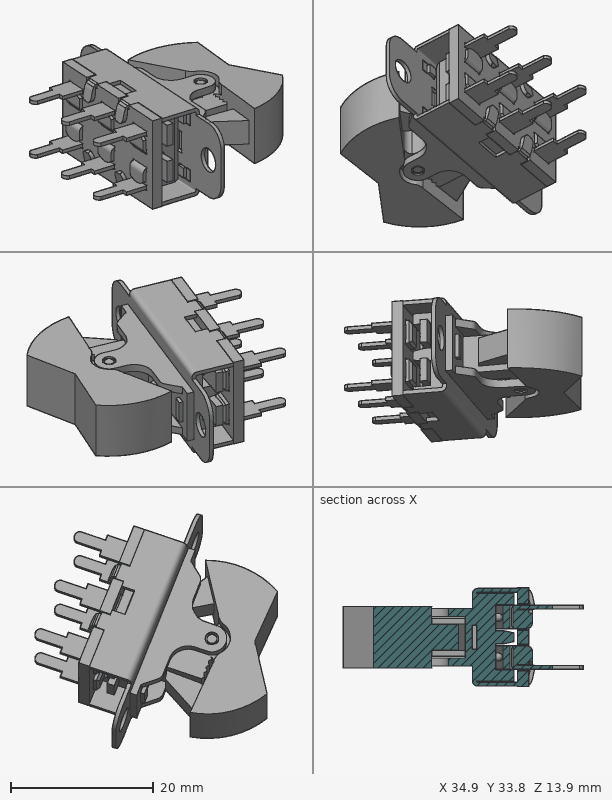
import cadquery as cq


row_z = 4.23
pitch = 7.93
sheet = 0.6

flange_length = 34.92
flange_width = 11.52
flange_corner = 2.97
mount_hole = 3.55
mount_x = 14.3
frame_half_x = 11.2
frame_half_z = 6.88
bend_radius = 0.8
window_half_x = 1.95
window_top = -4.45

base_half_x = 11.17
base_half_z = 6.95
base_top = -6.32
base_bottom = -7.93

housing_half_x = 7.23
housing_half_z = 6.15
housing_bottom = -5.85
housing_chamfer_x = 0.5
housing_chamfer_y = 0.9
cavity_top = -3.3
cavity_z = (0.95, 4.57)
divider_tip_z = 0.63
divider_taper_y = -4.35

slab_half_x = 11.85
slab_half_z = 4.05
slab_top = 1.0
cheek_z = (2.9, slab_half_z)
shoulder_y = 3.35
pivot_y = 7.9
ear_radius = 4.15 / 2
rivet_hole = 1.9
rivet = 1.4

tilt = 15.0
rocker_half_z = 4.33
core_half_z = 2.7
leg_half_z = 1.85
ear_clearance = 2.6

blade_width = 3.28
blade_end = -11.28
pin_width = 1.65
pin_end = -15.6
blade_thickness = 0.55
head_top = -5.48
tongue_z = 1.2
tongue_end = -8.45


def box(x0, x1, y0, y1, z0, z1):
    """Box between two opposite corners."""
    return cq.Workplane("XY").box(x1 - x0, y1 - y0, z1 - z0, centered=False).translate((x0, y0, z0))


def plate(sketch, z0, z1):
    """Extrude an XY outline between two Z levels."""
    return sketch.extrude(z1 - z0).translate((0, 0, z0))


def mirrored_z(solid):
    """The solid together with its mirror image across Z = 0."""
    return solid.union(solid.mirror("XY"))


def mirrored_x(solid):
    """The solid together with its mirror image across X = 0."""
    return solid.union(solid.mirror("YZ"))


tab_pitch = pitch / 2
tab_width = 1.92
tab_root_width = 2.45
tab_root_end = -7.58
tab_end = -8.87
tab_tip_z = 3.85
tab_tip_slant = 0.15
tab_outer_bend = [(base_bottom, 6.75), (-8.25, 6.43), (-8.45, 5.9)]
tab_inner_bend = (-7.85, 5.6)
hook_slot_x = (7.12, 9.75)
hook_slot_z = (3.5, 5.3)
hook_x = (7.35, 8.73)
hook_top_z = 5.03
hook_drop = 0.42
hook_seat = 0.5
centre_slot_x = (6.3, 7.68)
centre_slot_half_z = 1.68


def bent_tab(x):
    """Clinched tab that reaches over the base edge and inwards, rounded at its end."""
    inner_z = frame_half_z - sheet
    tip_radius = tab_width / 2
    profile = [
        (tab_root_end, inner_z), (tab_root_end, frame_half_z), *tab_outer_bend,
        (tab_end, tab_tip_z + tab_tip_slant), (tab_end + sheet, tab_tip_z), tab_inner_bend,
    ]
    strip = cq.Workplane("YZ", origin=(x - tip_radius, 0, 0)).polyline(profile).close().extrude(tab_width)
    outline = (
        cq.Workplane("XZ", origin=(x, 0, 0))
        .moveTo(-tip_radius, frame_half_z)
        .lineTo(-tip_radius, tab_tip_z + tip_radius)
        .threePointArc((0, tab_tip_z), (tip_radius, tab_tip_z + tip_radius))
        .lineTo(tip_radius, frame_half_z)
        .close()
        .extrude(-tab_end)
    )
    root = box(x - tab_root_width / 2, x + tab_root_width / 2, tab_root_end, base_top,
               inner_z, frame_half_z)
    return strip.intersect(outline).union(root)


def frame():
    channel = box(-frame_half_x, frame_half_x, base_top, 0, -frame_half_z, frame_half_z)
    channel = channel.edges("|X and >Y").fillet(bend_radius)
    inner_z = frame_half_z - sheet
    inside = box(-frame_half_x, frame_half_x, base_top, -sheet, -inner_z, inner_z)
    channel = channel.cut(inside.edges("|X and >Y").fillet(bend_radius - sheet))
    window = box(-window_half_x, window_half_x, base_top, window_top, -frame_half_z, frame_half_z)
    channel = channel.cut(window)

    flange = box(-flange_length / 2, flange_length / 2, -sheet, 0, -flange_width / 2, flange_width / 2)
    flange = flange.edges("|Y").fillet(flange_corner)
    body = channel.union(flange)

    holes = (
        cq.Workplane("XZ")
        .pushPoints([(-mount_x, 0), (mount_x, 0)])
        .circle(mount_hole / 2)
        .extrude(sheet)
    )
    hook_slot = box(*hook_slot_x, -sheet, 0, *hook_slot_z)
    centre_slot = box(*centre_slot_x, -sheet, 0, -centre_slot_half_z, centre_slot_half_z)
    body = body.cut(holes)
    body = body.cut(mirrored_x(mirrored_z(hook_slot).union(centre_slot)))

    for x in (-tab_pitch, tab_pitch):
        body = body.union(mirrored_z(bent_tab(x)))
    return body


notch_width = 2.62
notch_depth = 0.65
slot_half_x = 1.68
blade_slot_z = (3.85, 4.68)
tongue_slot_z = (1.0, 1.75)


def base():
    body = box(-base_half_x, base_half_x, base_bottom, base_top, -base_half_z, base_half_z)
    for x in (-tab_pitch, tab_pitch):
        notch = box(x - notch_width / 2, x + notch_width / 2, base_bottom, base_top,
                    base_half_z - notch_depth, base_half_z)
        body = body.cut(mirrored_z(notch))
    for x in (-pitch, 0, pitch):
        for slot_z in (blade_slot_z, tongue_slot_z):
            slot = box(x - slot_half_x, x + slot_half_x, base_bottom, base_top, *slot_z)
            body = body.cut(mirrored_z(slot))
    return body


def housing():
    chamfer_y = -sheet - housing_chamfer_y
    outline = [
        (housing_half_x - housing_chamfer_x, -sheet), (housing_half_x, chamfer_y),
        (housing_half_x, housing_bottom), (-housing_half_x, housing_bottom),
        (-housing_half_x, chamfer_y), (housing_chamfer_x - housing_half_x, -sheet),
    ]
    body = plate(cq.Workplane("XY").polyline(outline).close(), -housing_half_z, housing_half_z)
    inner_z, outer_z = cavity_z
    cavity = (
        cq.Workplane("YZ")
        .polyline([(cavity_top, inner_z), (divider_taper_y, inner_z), (housing_bottom, divider_tip_z),
                   (housing_bottom, outer_z), (cavity_top, outer_z)])
        .close()
        .extrude(housing_half_x, both=True)
    )
    return body.cut(mirrored_z(cavity))


cheek_foot_x = 10.1
corner_low = (8.45, 2.95)
corner_mid = (8.03, 3.25)
corner_high_x = 7.47
neck_radius = 2.8
pad_x = (9.08, 10.3)
pad_top = 1.57
pad_half_z = 1.68
stop_x = (1.95, 5.75)
stop_top = 8.45
tooth_count = 4
tooth_height = 0.3


def carrier():
    slab = box(-slab_half_x, slab_half_x, 0, slab_top, -slab_half_z, slab_half_z)
    cheek = (
        cq.Workplane("XY")
        .moveTo(-cheek_foot_x, slab_top)
        .lineTo(-corner_low[0], corner_low[1])
        .threePointArc((-corner_mid[0], corner_mid[1]), (-corner_high_x, shoulder_y))
        .lineTo(-ear_radius - neck_radius, shoulder_y)
        .radiusArc((-ear_radius, shoulder_y + neck_radius), -neck_radius)
        .lineTo(-ear_radius, pivot_y)
        .threePointArc((0, pivot_y + ear_radius), (ear_radius, pivot_y))
        .lineTo(ear_radius, shoulder_y + neck_radius)
        .radiusArc((ear_radius + neck_radius, shoulder_y), -neck_radius)
        .lineTo(corner_high_x, shoulder_y)
        .threePointArc(corner_mid, corner_low)
        .lineTo(cheek_foot_x, slab_top)
        .close()
    )
    cheek = plate(cheek, *cheek_z)
    hole = plate(cq.Workplane("XY").center(0, pivot_y).circle(rivet_hole / 2), *cheek_z)
    body = slab.union(mirrored_z(cheek.cut(hole)))
    pad = box(*pad_x, slab_top, pad_top, -pad_half_z, pad_half_z)
    body = body.union(mirrored_x(pad))
    hook = box(*hook_x, -sheet - hook_drop, 0, hook_slot_z[0], hook_top_z)
    hook = hook.union(box(*hook_slot_x, -hook_seat, 0, *hook_slot_z))
    return body.union(mirrored_x(mirrored_z(hook)))


def toothed_stop():
    """Upright stop with a row of small teeth on its top edge."""
    near_x, far_x = stop_x
    step = (far_x - near_x) / tooth_count
    points = [(far_x, slab_top), (far_x, stop_top)]
    for i in range(tooth_count):
        points.append((far_x - (i + 0.5) * step, stop_top + tooth_height))
        points.append((far_x - (i + 1) * step, stop_top))
    points.append((near_x, slab_top))
    return plate(cq.Workplane("XY").polyline(points).close(), -core_half_z, core_half_z)


lip = (11.7, -2.0)
rim = (10.9, 3.95)
crest = (7.85, 8.52)
saddle_y = 6.05
root_x = 3.45
root_y = 0.63
recess_neck = (2.3, 1.25)
recess_bend = (2.95, 0.8)
recess_foot = (3.98, 0.45)
hub_radius = 2.2
hub_bend = (2.65, 0.5)
leg_outline = [(6.25, 0.7), (6.25, -0.3), (4.5, -6.0), (5.9, -6.0), (10.3, -1.6), (10.3, 0.7)]
shaft_recess = 0.15
collar_recess = 0.28


def rocker():
    """Rocker drawn upright about the pivot, then tilted and moved to the ears."""
    head = (
        cq.Workplane("XY")
        .moveTo(-root_x, root_y)
        .lineTo(-lip[0], lip[1])
        .threePointArc((-rim[0], rim[1]), (-crest[0], crest[1]))
        .lineTo(0, saddle_y)
        .lineTo(*crest)
        .threePointArc(rim, lip)
        .lineTo(root_x, root_y)
        .close()
    )
    body = plate(head, -rocker_half_z, rocker_half_z)

    ear_recess = (
        cq.Workplane("XY")
        .moveTo(-recess_foot[0], recess_foot[1])
        .threePointArc((-recess_bend[0], recess_bend[1]), (-recess_neck[0], recess_neck[1]))
        .threePointArc((0, ear_clearance), recess_neck)
        .threePointArc(recess_bend, recess_foot)
        .close()
    )
    body = body.cut(mirrored_z(plate(ear_recess, core_half_z, rocker_half_z)))

    hub = (
        cq.Workplane("XY")
        .moveTo(-root_x, root_y)
        .threePointArc((-hub_bend[0], hub_bend[1]), (-hub_radius, 0))
        .threePointArc((0, -hub_radius), (hub_radius, 0))
        .threePointArc(hub_bend, (root_x, root_y))
        .lineTo(0, (root_y + saddle_y) / 2)
        .close()
    )
    body = body.union(plate(hub, -core_half_z, core_half_z))

    leg = cq.Workplane("XY").polyline(leg_outline).close()
    body = body.union(mirrored_x(plate(leg, -leg_half_z, leg_half_z)))

    for radius, recess in ((rivet / 2, shaft_recess), (rivet_hole / 2, collar_recess)):
        half_length = slab_half_z - recess
        pin = plate(cq.Workplane("XY").circle(radius), -half_length, half_length)
        body = body.union(pin)
    return body.rotate((0, 0, 0), (0, 0, 1), tilt).translate((0, pivot_y, 0))


blade_outer_z = row_z + blade_thickness / 2
tip_length = 0.6
head_chamfer = 0.4
tongue_side_z = 3.28
tongue_outer_z = 3.85
tongue_round = 0.85


def terminal(x):
    half_blade = blade_width / 2
    half_pin = pin_width / 2
    blade = (
        cq.Workplane("XY", origin=(x, 0, 0))
        .moveTo(-half_blade, base_top)
        .lineTo(-half_blade, blade_end)
        .lineTo(-half_pin, blade_end)
        .lineTo(-half_pin, pin_end + tip_length)
        .threePointArc((0, pin_end), (half_pin, pin_end + tip_length))
        .lineTo(half_pin, blade_end)
        .lineTo(half_blade, blade_end)
        .lineTo(half_blade, base_top)
        .close()
    )
    body = plate(blade, blade_outer_z - blade_thickness, blade_outer_z)

    head = box(x - half_blade, x + half_blade, base_top, head_top, tongue_z, blade_outer_z)
    head = head.faces(">Y").chamfer(head_chamfer)

    tongue = (
        cq.Workplane("XZ", origin=(x, 0, 0))
        .moveTo(-half_blade, tongue_z)
        .lineTo(-half_blade, tongue_side_z)
        .threePointArc((0, tongue_outer_z), (half_blade, tongue_side_z))
        .lineTo(half_blade, tongue_z)
        .close()
        .extrude(base_top - tongue_end)
        .translate((0, base_top, 0))
        .edges("|X and <Y and <Z")
        .fillet(tongue_round)
    )
    return body.union(head).union(tongue)


contact_half_x = 9.43
contact_bend_x = 8.38
contact_low_y = -4.45
contact_high_y = -3.25
contact_depth = 1.05
fulcrum_half_x = 0.7
plunger_x = -5.95
plunger_z = 2.8
plunger_radius = 0.55
nose_y = -3.7


def contact():
    """Tilted contact bar on its fulcrum, with a round-nosed plunger bearing on it."""
    low_bottom = contact_low_y - contact_depth
    high_bottom = contact_high_y - contact_depth
    profile = [
        (-contact_half_x, low_bottom), (-contact_half_x, contact_low_y), (-contact_bend_x, contact_low_y),
        (contact_bend_x, contact_high_y), (contact_half_x, contact_high_y),
        (contact_half_x, high_bottom), (contact_bend_x, high_bottom), (-contact_bend_x, low_bottom),
    ]
    bar = plate(cq.Workplane("XY").polyline(profile).close(), tongue_z, blade_outer_z)
    fulcrum = box(-fulcrum_half_x, fulcrum_half_x, base_top, contact_low_y, tongue_z, blade_outer_z)

    nose = cq.Workplane("XY").sphere(plunger_radius).translate((plunger_x, nose_y, plunger_z))
    plunger = (
        cq.Workplane("XZ", origin=(plunger_x, cavity_top, plunger_z))
        .circle(plunger_radius)
        .extrude(cavity_top - nose_y)
        .union(nose)
    )
    return bar.union(fulcrum).union(plunger)


result = frame()
for part in (base(), housing(), carrier(), toothed_stop(), rocker(), mirrored_z(contact())):
    result = result.union(part)
for position in (-pitch, 0, pitch):
    result = result.union(mirrored_z(terminal(position)))